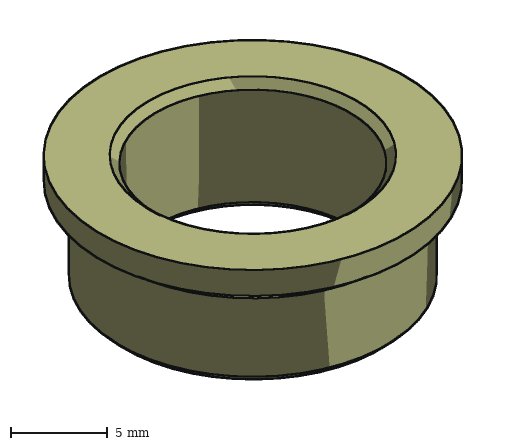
import cadquery as cq

flange_diameter = 21.59
body_diameter = 19.0
bore_diameter = 13.77
total_height = 7.94
flange_thickness = 1.6
edge_chamfer = 0.5
groove_radius = 0.5

flange_radius = flange_diameter / 2
body_radius = body_diameter / 2
bore_radius = bore_diameter / 2
flange_underside = total_height - flange_thickness
groove_center = flange_underside - groove_radius
groove_bottom = groove_center - groove_radius


def bushing_profile():
    """Half section in the XZ plane: body, relief groove and flange around a bore chamfered at both ends."""
    return (
        cq.Workplane("XZ")
        .moveTo(bore_radius + edge_chamfer, 0)
        .lineTo(body_radius - edge_chamfer, 0)
        .lineTo(body_radius, edge_chamfer)
        .lineTo(body_radius, groove_bottom)
        .radiusArc((body_radius - groove_radius, groove_center), groove_radius)
        .radiusArc((body_radius, flange_underside), groove_radius)
        .lineTo(flange_radius, flange_underside)
        .lineTo(flange_radius, total_height)
        .lineTo(bore_radius + edge_chamfer, total_height)
        .lineTo(bore_radius, total_height - edge_chamfer)
        .lineTo(bore_radius, edge_chamfer)
        .close()
    )


result = bushing_profile().revolve(360, (0, 0, 0), (0, 1, 0))